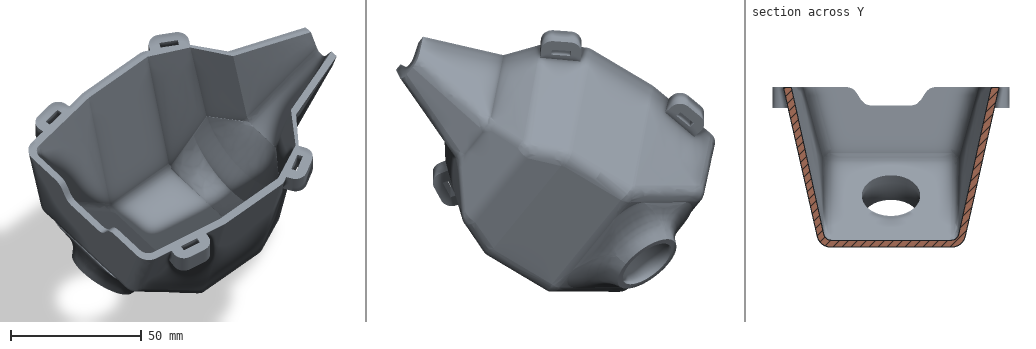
import cadquery as cq
import math


overshoot = 0.5
tolerance = 0.01

front_end_y = 35.2
side_end_y = 65.0
shoulder_y = 80.3
neck_y = 90.0
tail_y = 120.0

bottom_z = -61.31
slope_top_z = -28.4
outer_bottom_half = 27.5
outer_sections = [
    (0, 35.7, outer_bottom_half, slope_top_z),
    (front_end_y, 41.4, outer_bottom_half, bottom_z),
    (side_end_y, 41.4, outer_bottom_half, bottom_z),
    (shoulder_y, 32.8, 21.0, -59.9),
    (neck_y, 19.9, 10.5, -38.2),
    (tail_y, 9.1, 5.5, -12.9),
]

front_wall = 2.6
floor_wall = 2.8
inner_bottom_half = 25.3
ramp_top_z = -34.7
inner_sections = [
    (front_wall, 33.0, inner_bottom_half, -27.0),
    (front_end_y, 38.2, inner_bottom_half, bottom_z + floor_wall),
    (side_end_y, 38.2, inner_bottom_half, bottom_z + floor_wall),
    (shoulder_y, 30.8, 21.3, ramp_top_z),
    (neck_y, 16.9, 8.2, -33.5),
    (tail_y, 6.0, 1.8, -7.9),
]

scoop_sections = [
    (side_end_y, 25.2, -58.4, -58.5),
    (74.7, 22.6, -43.0, -56.5),
    (shoulder_y, 21.2, -34.5, -48.5),
    (neck_y, 8.4, -33.3, -33.6),
]
scoop_peak = 5.0

outer_radius = 5.5
inner_radius = 2.8
inner_corner_radius = 4.0

slope_tilt = math.atan2(slope_top_z - bottom_z, front_end_y)
spout_hole_diameter = 22.4
spout_tip_half = 13.6
spout_tip_y = 9.0
spout_tip_z = -50.85
spout_height = 10.15
flare_rings = [
    (-0.3, 23.5, 10.0, 1.5),
    (0.9, 21.3, 12.5, 0.9),
    (3.4, 17.6, 15.0, 0.3),
    (spout_height, spout_tip_half, spout_tip_half - tolerance, 0.0),
]

lug_positions = [(40.0, 19.0, -9.1), (37.4, 75.3, 30.0)]
lug_height = 8.0
lug_length = 15.6
lug_reach = 5.0
lug_corner_radius = 4.5
slot_length = 7.2
slot_width = 2.2

notch_depth = 7.0
notch_top_half = 17.3
notch_floor_half = 7.4


def corners(section, rise):
    """Four corners of a trapezoidal cross section, its sloped sides running on to the height rise."""
    y, rim_half, bottom_half, z = section
    top_half = rim_half + (rim_half - bottom_half) * rise / -z
    profile = [(-top_half, rise), (-bottom_half, z), (bottom_half, z), (top_half, rise)]
    return [cq.Vector(x, y, height) for x, height in profile]


def polygon(points):
    """Flat face with the given corners."""
    return cq.Face.makeFromWires(cq.Wire.makePolygon(points, close=True))


def tapered_body(sections, rise=0.0):
    """Solid with straight-ruled walls between the sections."""
    rows = [corners(section, rise) for section in sections]
    faces = [polygon(rows[0]), polygon(rows[-1])]
    for front, back in zip(rows, rows[1:]):
        for start, end in ((0, 1), (1, 2), (2, 3), (3, 0)):
            faces.append(
                cq.Face.makeRuledSurface(
                    cq.Edge.makeLine(front[start], back[start]),
                    cq.Edge.makeLine(front[end], back[end]),
                )
            )
    return cq.Solid.makeSolid(cq.Shell.makeShell(faces))


def is_crosswise(edge):
    """True for an edge that lies in a plane of constant Y."""
    return abs(edge.startPoint().y - edge.endPoint().y) < tolerance


def outer_body():
    """Outside of the hopper, rounded except at the rim, the neck and the tail end."""
    body = tapered_body(outer_sections)
    rounded_edges = [
        edge for edge in body.Edges()
        if edge.Center().z < -tolerance
        and not (is_crosswise(edge) and edge.Center().y > neck_y - tolerance)
    ]
    return cq.Workplane(body.fillet(outer_radius, rounded_edges))


def cavity():
    """Inside of the hopper, carried on past the rim and the open tail so that it cuts cleanly."""
    neck, tail = inner_sections[-2:]
    stretch = overshoot / (tail_y - neck_y)
    past_tail = tuple(end + (end - start) * stretch for start, end in zip(neck, tail))
    body = tapered_body(inner_sections[:-1] + [past_tail], overshoot)
    lengthwise_edges = [
        edge for edge in body.Edges()
        if edge.Center().z < -tolerance
        and not is_crosswise(edge)
        and not side_end_y < edge.Center().y < neck_y
    ]
    body = body.fillet(inner_radius, lengthwise_edges)
    front_corners = [
        edge for edge in body.Edges()
        if is_crosswise(edge)
        and edge.Center().y < front_wall + tolerance
        and edge.BoundingBox().zmax > overshoot - tolerance
        and edge.BoundingBox().zmin < -notch_depth
    ]
    return cq.Workplane(body.fillet(inner_corner_radius, front_corners))


def scoop():
    """Hollow sunk into the ramp behind the floor; its underside is an arc at every station."""
    rings = []
    for y, half_width, side_z, middle_z in scoop_sections:
        left = cq.Vector(-half_width, y, side_z)
        right = cq.Vector(half_width, y, side_z)
        peak = cq.Vector(0, y, side_z + scoop_peak)
        underside = cq.Edge.makeThreePointArc(left, cq.Vector(0, y, middle_z), right)
        sides = [cq.Edge.makeLine(right, peak), cq.Edge.makeLine(peak, left)]
        rings.append(cq.Wire.assembleEdges([underside] + sides))
    return cq.Workplane(cq.Solid.makeLoft(rings, True))


def spout_plane():
    """Plane on the slope below the spout tip, normal pointing outwards along the spout."""
    normal = cq.Vector(0, -math.sin(slope_tilt), -math.cos(slope_tilt))
    origin = cq.Vector(0, spout_tip_y, spout_tip_z) - normal * spout_height
    return cq.Plane(origin=origin, xDir=(1, 0, 0), normal=normal)


def spout():
    """Flared spout lofted from a rounded square on the slope to the round tip."""
    outlines = []
    for height, half_size, corner_radius, shift in flare_rings:
        side = 2 * half_size
        outline = cq.Sketch().rect(side, side).vertices().fillet(corner_radius)
        outlines.append(outline.moved(cq.Location(cq.Vector(0, -shift, height))))
    return cq.Workplane(spout_plane()).placeSketch(*outlines).loft()


def spout_bore():
    """Round hole through the spout and the sloping floor."""
    start = cq.Workplane(spout_plane()).workplane(offset=-spout_height)
    return start.circle(spout_hole_diameter / 2).extrude(2 * spout_height + overshoot)


def lug(x, y, rotation):
    """Rounded lug around its slot; the inner end runs into the wall."""
    block = (
        cq.Workplane("XY")
        .box(2 * lug_reach, lug_length, lug_height, centered=(True, True, False))
        .edges("|Z and >X").fillet(lug_corner_radius)
    )
    slot = cq.Workplane("XY").rect(slot_width, slot_length).extrude(lug_height)
    return block.cut(slot).rotate((0, 0, 0), (0, 0, 1), rotation).translate((x, y, -lug_height))


def notch():
    """Dip in the rim of the front wall with S-curved flanks."""
    level = [(1, 0), (1, 0)]
    return (
        cq.Workplane("XZ")
        .moveTo(-notch_top_half, 0)
        .spline([(-notch_floor_half, -notch_depth)], tangents=level, includeCurrent=True)
        .lineTo(notch_floor_half, -notch_depth)
        .spline([(notch_top_half, 0)], tangents=level, includeCurrent=True)
        .close()
        .extrude(-2 * front_wall)
    )


body = outer_body().union(spout())
for x, y, rotation in lug_positions:
    right_lug = lug(x, y, rotation)
    body = body.union(right_lug).union(right_lug.mirror("YZ"))
body = body.cut(cavity()).cut(scoop())
result = body.cut(spout_bore()).cut(notch())